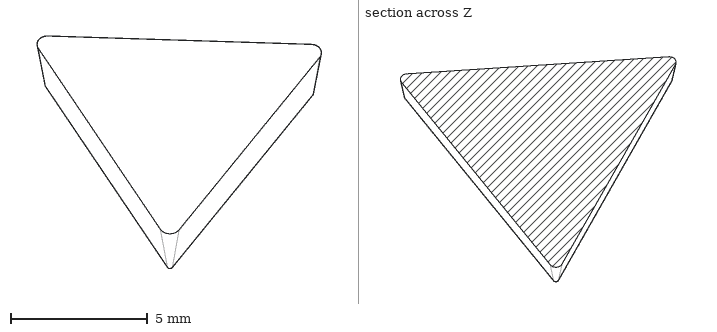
import cadquery as cq
import math

top_width = 10.41
thickness = 2.38
top_corner_radius = 0.4
clearance_angle = 7.0

centre_spacing = top_width - 2 * top_corner_radius
centre_distance = centre_spacing / math.sqrt(3)
side_inset = thickness * math.tan(math.radians(clearance_angle))
base_corner_radius = top_corner_radius - side_inset


def polar_point(centre, radius, angle):
    """Point at a given radius and angle (degrees) around a centre."""
    turn = math.radians(angle)
    return (centre[0] + radius * math.cos(turn), centre[1] + radius * math.sin(turn))


def rounded_triangle(height, corner_radius):
    """Closed outline at a height, with one corner pointing along +Y."""
    half_arc = 60
    outline = cq.Workplane("XY").workplane(offset=height)
    for index, direction in enumerate((90, 210, 330)):
        centre = polar_point((0, 0), centre_distance, direction)
        start = polar_point(centre, corner_radius, direction - half_arc)
        middle = polar_point(centre, corner_radius, direction)
        end = polar_point(centre, corner_radius, direction + half_arc)
        outline = outline.moveTo(*start) if index == 0 else outline.lineTo(*start)
        outline = outline.threePointArc(middle, end)
    return outline.close().wire().val()


base_outline = rounded_triangle(0, base_corner_radius)
top_outline = rounded_triangle(thickness, top_corner_radius)
insert = cq.Solid.makeLoft([base_outline, top_outline], ruled=True)
result = cq.Workplane("XY").newObject([insert])